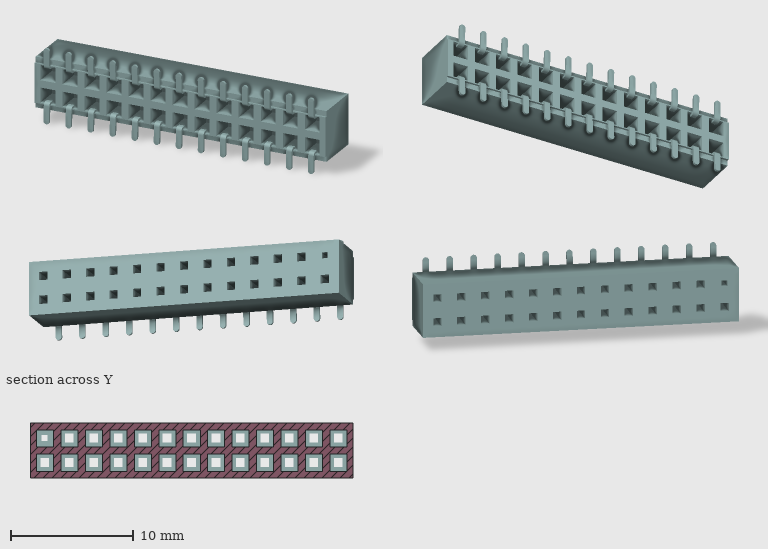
import cadquery as cq
import math

columns = 13
pitch = 2.0

end_margin = 1.2
body_length = (columns - 1) * pitch + 2 * end_margin
body_height = 4.5
body_depth = 4.3
front_y = -body_depth / 2
back_y = body_depth / 2
ledge_depth = 0.2
ledge_height = 0.48

pocket_size = 1.35
pocket_depth = body_depth / 2
entry_size = 0.7
key_entry_size = 0.5

pin_width = 0.5
pin_thickness = 0.21
pin_standoff = 0.3
pin_span = 6.7
bend_radius = 0.32
leg_tilt = math.radians(2.5)
tail_length = 0.28
tip_length = 0.3

row_z = pitch / 2
tail_outer_z = row_z + pocket_size / 2
tail_inner_z = tail_outer_z - pin_thickness
pin_front_y = front_y - pin_standoff
column_xs = [(i - (columns - 1) / 2) * pitch for i in range(columns)]


def make_housing():
    """Block with a shallow ledge along its front top and bottom edges."""
    rear = cq.Workplane("XY").box(body_length, body_depth - ledge_depth, body_height)
    rear = rear.translate((0, ledge_depth / 2, 0))
    raised_height = body_height - 2 * ledge_height
    raised_front = cq.Workplane("XY").box(body_length, body_depth, raised_height)
    return rear.union(raised_front)


def make_square_hole(x, z, size, depth):
    """Square prism that cuts inward from the front face."""
    return cq.Workplane("XY").box(size, depth, size).translate((x, front_y + depth / 2, z))


def make_upper_pin():
    """Upper-row contact centred at X = 0: tail, bend, slightly tilted leg and upright rounded tip."""
    tip_z = pin_span / 2
    tip_base_z = tip_z - tip_length
    pin_rear_y = pin_front_y + pin_thickness
    rear_tip_base_z = tip_base_z + pin_thickness * math.tan(leg_tilt / 2)

    bend_z = tail_inner_z + bend_radius
    leg_start_z = bend_z - bend_radius * math.sin(leg_tilt)
    leg_start_y = pin_front_y + (tip_base_z - leg_start_z) * math.tan(leg_tilt)
    bend_y = leg_start_y + bend_radius * math.cos(leg_tilt)
    tail_end_y = bend_y + tail_length

    def bend_point(radius, angle):
        """Point on the bend, with the angle measured from -Y toward -Z."""
        return bend_y - radius * math.cos(angle), bend_z - radius * math.sin(angle)

    inner_radius = bend_radius - pin_thickness
    middle_angle = (leg_tilt + math.pi / 2) / 2
    profile = (
        cq.Workplane("YZ")
        .moveTo(tail_end_y, tail_inner_z)
        .lineTo(bend_y, tail_inner_z)
        .threePointArc(bend_point(bend_radius, middle_angle), (leg_start_y, leg_start_z))
        .lineTo(pin_front_y, tip_base_z)
        .lineTo(pin_front_y, tip_z)
        .lineTo(pin_rear_y, tip_z)
        .lineTo(pin_rear_y, rear_tip_base_z)
        .lineTo(*bend_point(inner_radius, leg_tilt))
        .threePointArc(bend_point(inner_radius, middle_angle), (bend_y, tail_outer_z))
        .lineTo(tail_end_y, tail_outer_z)
        .close()
        .extrude(pin_width / 2, both=True)
    )
    front_outline = (
        cq.Workplane("XZ", origin=(0, back_y, 0))
        .moveTo(-pin_width / 2, 0)
        .lineTo(-pin_width / 2, tip_base_z)
        .threePointArc((0, tip_z), (pin_width / 2, tip_base_z))
        .lineTo(pin_width / 2, 0)
        .close()
        .extrude(body_depth + pin_standoff)
    )
    return profile.intersect(front_outline)


def cut_cavities(housing):
    """Open one cavity per contact; the first one of the upper row has the smaller key entry."""
    for column, x in enumerate(column_xs):
        for z in (-row_z, row_z):
            is_key = column == 0 and z > 0
            entry = key_entry_size if is_key else entry_size
            housing = housing.cut(make_square_hole(x, z, pocket_size, pocket_depth))
            housing = housing.cut(make_square_hole(x, z, entry, body_depth))
    return housing


def add_pins(housing):
    """Seat a mirrored pair of contacts in every column."""
    upper_pin = make_upper_pin()
    lower_pin = upper_pin.mirror("XY")
    for x in column_xs:
        for pin in (upper_pin, lower_pin):
            housing = housing.union(pin.translate((x, 0, 0)))
    return housing


result = add_pins(cut_cavities(make_housing()))